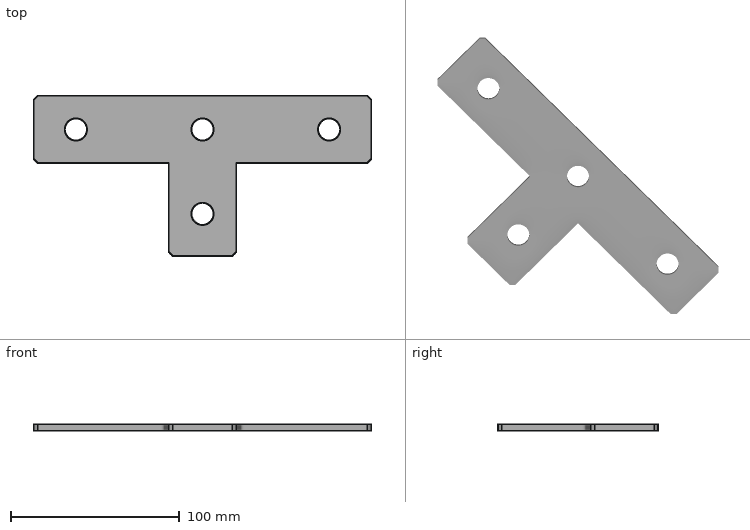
import cadquery as cq

bar_length = 200.0
arm_width = 40.0
overall_depth = 95.0
thickness = 4.0
corner_chamfer = 2.5
hole_diameter = 13.0
end_hole_inset = 25.0

stem_end_y = arm_width / 2 - overall_depth
end_hole_x = bar_length / 2 - end_hole_inset
stem_hole_y = stem_end_y + end_hole_inset
hole_centres = [(-end_hole_x, 0), (0, 0), (end_hole_x, 0), (0, stem_hole_y)]


def chamfered_arm(length, width):
    """Flat rectangular arm with all four corners cut off."""
    return (
        cq.Workplane("XY")
        .rect(length, width)
        .extrude(thickness)
        .edges("|Z")
        .chamfer(corner_chamfer)
    )


bar = chamfered_arm(bar_length, arm_width)
stem = chamfered_arm(arm_width, overall_depth).translate((0, (arm_width / 2 + stem_end_y) / 2, 0))
plate = bar.union(stem)

holes = cq.Workplane("XY").pushPoints(hole_centres).circle(hole_diameter / 2).extrude(thickness)

result = plate.cut(holes).clean()